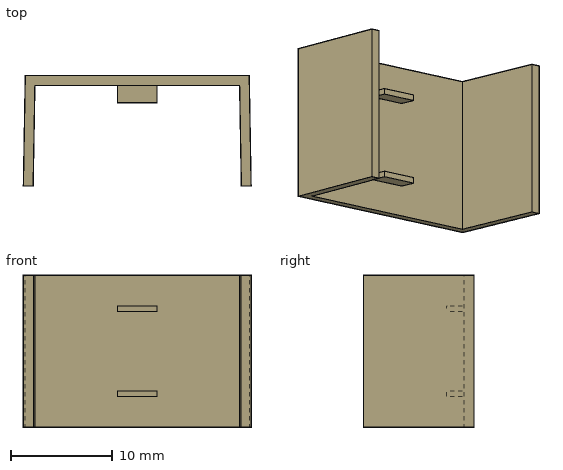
import cadquery as cq
import math

overall_width = 22.48
overall_depth = 10.9
height = 15.0
wall = 1.0
flare_angle = 1.0

rib_width = 3.93
rib_reach = 1.7
rib_outer_z = 4.47
rib_inner_z = 3.91
rib_crest_z = 4.1
side_draft = 1.0
outer_tip_slope = 1.0
inner_tip_slope = 3.0

back_y = overall_depth / 2
inner_y = back_y - wall


def run(length, angle):
    """Sideways shift over a length at a small angle in degrees."""
    return length * math.tan(math.radians(angle))


def make_channel():
    """U-shaped channel whose legs lean outward."""
    tip_x = overall_width / 2
    tip_y = -overall_depth / 2
    half_outline = [
        (0, back_y),
        (tip_x - run(overall_depth, flare_angle), back_y),
        (tip_x, tip_y),
        (tip_x - wall, tip_y),
        (tip_x - wall - run(inner_y - tip_y, flare_angle), inner_y),
        (0, inner_y),
    ]
    half = cq.Workplane("XY").polyline(half_outline).close().extrude(height / 2, both=True)
    return half.union(half.mirror("YZ"))


def make_rib():
    """Upper rib: drafted sides, with a shallow crest along the tip."""
    outer_half_width = rib_width / 2
    inner_half_width = outer_half_width - run(rib_outer_z - rib_inner_z, side_draft)
    tip_y = inner_y - rib_reach
    front_outline = [
        (-outer_half_width, rib_outer_z),
        (outer_half_width, rib_outer_z),
        (inner_half_width, rib_inner_z),
        (-inner_half_width, rib_inner_z),
    ]
    side_outline = [
        (inner_y, rib_outer_z),
        (tip_y + run(rib_outer_z - rib_crest_z, outer_tip_slope), rib_outer_z),
        (tip_y, rib_crest_z),
        (tip_y + run(rib_crest_z - rib_inner_z, inner_tip_slope), rib_inner_z),
        (inner_y, rib_inner_z),
    ]
    front_plane = cq.Workplane("XZ", origin=(0, inner_y, 0))
    front_prism = front_plane.polyline(front_outline).close().extrude(rib_reach)
    side_prism = cq.Workplane("YZ").polyline(side_outline).close().extrude(rib_width, both=True)
    return front_prism.intersect(side_prism)


upper_rib = make_rib()
lower_rib = upper_rib.mirror("XY")
result = make_channel().union(upper_rib).union(lower_rib)